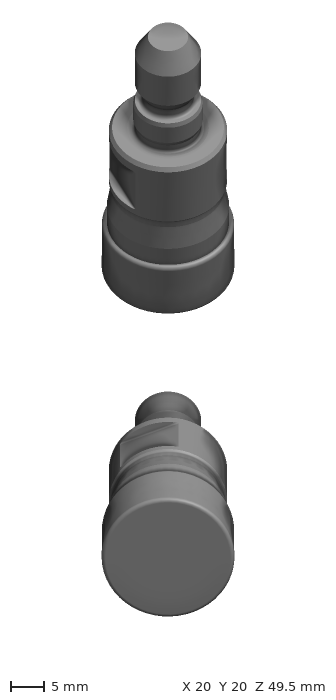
import cadquery as cq
import math

total_height = 49.5
cap_diameter = 20.0

tip_radius = 3.0
nose_radius = 10.0 / 2
nose_top = 46.05
nose_bottom = 39.8
neck_radius = 7.7 / 2
neck_blend_outer = 4.0
neck_blend_top = 38.0
neck_top = 37.7
neck_bottom = 36.7

collar_radius = 10.5 / 2
collar_top = 36.05
collar_rim_radius = 5.0
collar_upper_edge = 35.35
collar_lower_edge = 32.1
shank_radius = nose_radius
shank_top = 31.35
shank_bottom = 30.4
foot_fillet = 0.45

dish_radius = 6.15

wrench_radius = 17.8 / 2
wrench_top = 30.1
wrench_chamfer_height = 0.6
wrench_chamfer_width = 0.5
wrench_bottom = 18.95
wrench_lower_chamfer = 0.2
flat_distance = 7.5
flat_bottom = 20.0
flat_top = 28.0
flat_corner_fillet = 0.25

waist_radius = 17.2 / 2
waist_top = 18.45
waist_bottom = 17.4
base_radius = 18.4 / 2
flare_end_radius = 9.15
flare_bottom = 13.7
base_top = 13.4

cap_height = 10.0
cap_top_radius = 9.95
cap_bottom_radius = cap_diameter / 2
cap_floor = cap_top_radius - base_radius
cap_top_round = 0.65
cap_bottom_round = 0.6


def corner_arc(sketch, center, radius, start_angle, end_angle):
    """Draw a line to the start of a circular arc, then the arc itself (angles in degrees)."""
    def point(angle):
        return (
            center[0] + radius * math.cos(math.radians(angle)),
            center[1] + radius * math.sin(math.radians(angle)),
        )

    middle_angle = (start_angle + end_angle) / 2
    return sketch.lineTo(*point(start_angle)).threePointArc(point(middle_angle), point(end_angle))


def turned(profile):
    """Revolve a closed radius-height profile about the Z axis."""
    return profile.close().revolve(360, (0, 0, 0), (0, 1, 0))


def pin_profile():
    """Start the plug outline on the axis and draw it down to the wrench section."""
    profile = (
        cq.Workplane("XZ")
        .moveTo(0, total_height)
        .lineTo(tip_radius, total_height)
        .lineTo(nose_radius, nose_top)
        .lineTo(nose_radius, nose_bottom)
        .lineTo(neck_blend_outer, neck_blend_top)
        .tangentArcPoint((neck_radius, neck_top), relative=False)
    )
    neck_fillet = neck_bottom - collar_top
    profile = corner_arc(profile, (neck_radius + neck_fillet, neck_bottom), neck_fillet, 180, 270)
    profile = (
        profile.lineTo(collar_rim_radius, collar_top)
        .lineTo(collar_radius, collar_upper_edge)
        .lineTo(collar_radius, collar_lower_edge)
        .lineTo(shank_radius, shank_top)
    )
    return corner_arc(profile, (shank_radius + foot_fillet, shank_bottom), foot_fillet, 180, 270)


def turned_plug():
    """Pin, wrench section and base as one turned shape, before the flats are cut."""
    profile = (
        pin_profile()
        .lineTo(dish_radius, wrench_top)
        .lineTo(wrench_radius - wrench_chamfer_width, wrench_top)
        .lineTo(wrench_radius, wrench_top - wrench_chamfer_height)
        .lineTo(wrench_radius, wrench_bottom)
    )
    waist_blend_radius = wrench_radius - wrench_lower_chamfer
    waist_blend_top = wrench_bottom - wrench_lower_chamfer
    profile = (
        profile.lineTo(waist_blend_radius, waist_blend_top)
        .tangentArcPoint((waist_radius, waist_top), relative=False)
        .lineTo(waist_radius, waist_bottom)
        .lineTo(flare_end_radius, flare_bottom)
        .tangentArcPoint((base_radius, base_top), relative=False)
        .lineTo(base_radius, cap_floor)
        .lineTo(0, cap_floor)
    )
    return turned(profile)


def flat_cutter(side):
    """Block that mills one wrench flat; side is +1 or -1 along Y."""
    height = flat_top - flat_bottom
    depth = wrench_radius
    return (
        cq.Workplane("XY")
        .box(2 * wrench_radius, depth, height)
        .edges("|X")
        .edges("<Y" if side > 0 else ">Y")
        .fillet(flat_corner_fillet)
        .translate((0, side * (flat_distance + depth / 2), (flat_top + flat_bottom) / 2))
    )


def make_plug():
    plug = turned_plug()
    for side in (-1, 1):
        plug = plug.cut(flat_cutter(side))
    return plug


def make_cap():
    """Tapered cup with rounded outer edges; its recess holds the base of the plug."""
    profile = (
        cq.Workplane("XZ")
        .lineTo(cap_bottom_radius, 0)
        .lineTo(cap_top_radius, cap_height)
        .lineTo(0, cap_height)
    )
    cap = turned(profile)
    cap = cap.faces(">Z").edges().fillet(cap_top_round)
    cap = cap.faces("<Z").edges().fillet(cap_bottom_round)
    recess = (
        cq.Workplane("XY")
        .workplane(offset=cap_floor)
        .circle(base_radius)
        .extrude(cap_height - cap_floor)
    )
    return cap.cut(recess)


plug = make_plug()
cap = make_cap()

result = cq.Compound.makeCompound([plug.val(), cap.val()])